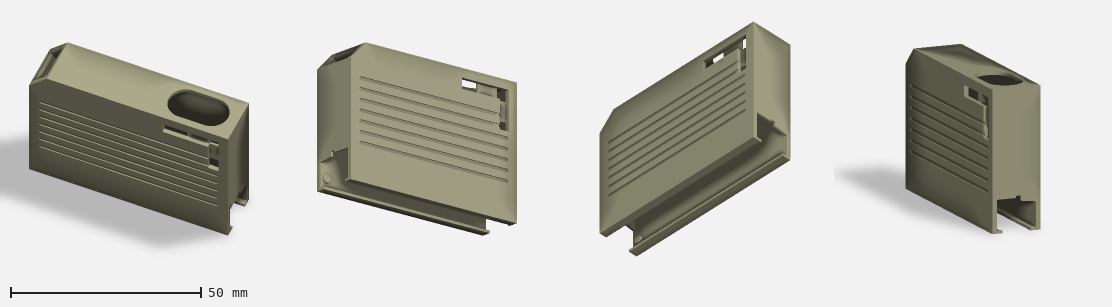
import cadquery as cq

length = 57.15
width = 13.7
height = 39.0
chamfer = 5.15

side_wall = 1.25
end_wall = 0.7
top_wall = 1.05

lip_thickness = 0.75
near_lip_reach = 2.4
far_lip_reach = 2.8
stop_reach = 2.9
stop_length = 0.7
stop_bevel = 0.2

mouth_low = 7.7
mouth_slope_top = 8.3
mouth_shoulder = 9.15
mouth_top = 9.7
mouth_notch_start = 6.75
mouth_notch_end = 8.2

oblong_length = 17.05
oblong_width = 9.7
oblong_center_x = 45.65

groove_count = 7
groove_pitch = 3.0
groove_width = 1.0
groove_depth = 0.35
groove_start = 2.9
groove_end = 54.2
lowest_groove_z = 10.85

arm_start = 38.35
arm_end = 54.4
arm_top = height - 2.7
arm_width = 3.1
leg_bottom = height - 14.25

plate_start = 44.75
plate_bottom = height - 11.5
plate_thickness = 0.65

display_width = 10.3
recess_drop_start = 0.5
recess_drop_end = 5.0
recess_depth = 0.3
bezel_width = 11.2
bezel_depth = 0.2
bezel_drop_start = 0.9
bezel_drop_end = 4.35

pocket_upper_x = 4.25
pocket_upper_drop = 1.25
pocket_lower_x = 0.9
pocket_lower_drop = 4.6
draft_long = 0.8
draft_short = 0.45
pocket_back_x = 5.4
pocket_back_drop = 5.8
back_step_drop = 2.45
floor_upper_drop = 2.9
floor_lower_x = 2.5
bottom_step_x = 2.05

button_x = 2.05
button_z = 3.55
button_radius = 1.25
button_height = 0.65
button_edge = 0.25


def box(x0, x1, y0, y1, z0, z1):
    """Axis-aligned block between the given limits."""
    return cq.Workplane("XY").box(x1 - x0, y1 - y0, z1 - z0, centered=False).translate((x0, y0, z0))


def xz_prism(points, y0, y1):
    """Outline in X and Z, extruded from y0 to y1."""
    outline = cq.Workplane("XZ", origin=(0, y0, 0)).polyline(points).close()
    return outline.extrude(y0 - y1)


def chamfer_pocket(drop_start, drop_end, depth, pocket_width):
    """Pocket square to the chamfered face, placed by its drop below the top face."""
    inward = depth / 2**0.5
    upper = (chamfer - drop_start, height - drop_start)
    lower = (chamfer - drop_end, height - drop_end)
    points = [
        (upper[0] - inward, upper[1] + inward),
        (upper[0] + inward, upper[1] - inward),
        (lower[0] + inward, lower[1] - inward),
        (lower[0] - inward, lower[1] + inward),
    ]
    return xz_prism(points, (width - pocket_width) / 2, (width + pocket_width) / 2)


outer_outline = [
    (0, 0),
    (length, 0),
    (length, height),
    (chamfer, height),
    (0, height - chamfer),
]
body = xz_prism(outer_outline, 0, width)

corner_x = pocket_back_x + end_wall
corner_z = height - pocket_back_drop - end_wall
cavity_outline = [
    (end_wall, lip_thickness),
    (length - end_wall, lip_thickness),
    (length - end_wall, height - top_wall),
    (corner_x, height - top_wall),
    (corner_x, corner_z),
    (end_wall, corner_z),
]
body = body.cut(xz_prism(cavity_outline, side_wall, width - side_wall))

stop_start = length - stop_length
lip_gap_outline = [
    (0, near_lip_reach),
    (stop_start, near_lip_reach),
    (stop_start, stop_reach - stop_bevel),
    (stop_start + stop_bevel, stop_reach),
    (length, stop_reach),
    (length, width - far_lip_reach),
    (0, width - far_lip_reach),
]
body = body.cut(cq.Workplane("XY").polyline(lip_gap_outline).close().extrude(lip_thickness))

mouth_outline = [
    (side_wall, lip_thickness),
    (side_wall, mouth_shoulder),
    (mouth_notch_start, mouth_shoulder),
    (mouth_notch_start, mouth_top),
    (mouth_notch_end, mouth_top),
    (mouth_notch_end, mouth_slope_top),
    (width - side_wall, mouth_low),
    (width - side_wall, lip_thickness),
]
body = body.cut(cq.Workplane("YZ").polyline(mouth_outline).close().extrude(length))

oblong = (
    cq.Workplane("XY", origin=(oblong_center_x, width / 2, height - top_wall))
    .slot2D(oblong_length, oblong_width)
    .extrude(top_wall)
)
body = body.cut(oblong)

for index in range(groove_count):
    groove_z = lowest_groove_z + index * groove_pitch
    groove = (
        cq.Workplane("XZ", origin=((groove_start + groove_end) / 2, 0, groove_z))
        .slot2D(groove_end - groove_start, groove_width)
        .extrude(-groove_depth)
    )
    body = body.cut(groove)

arm_bottom = arm_top - arm_width
leg_start = arm_end - arm_width
body = body.cut(box(arm_start, arm_end, 0, side_wall, arm_bottom, arm_top))
body = body.cut(box(leg_start, arm_end, 0, side_wall, leg_bottom, arm_top))

plate_back = side_wall + plate_thickness
plate = box(plate_start, length - end_wall, side_wall, plate_back, plate_bottom, height - top_wall)
plate_notch = box(leg_start, length - end_wall, side_wall, plate_back, arm_bottom, height - top_wall)
body = body.union(plate.cut(plate_notch))

body = body.cut(chamfer_pocket(bezel_drop_start, bezel_drop_end, bezel_depth, bezel_width))
body = body.cut(chamfer_pocket(recess_drop_start, recess_drop_end, recess_depth, display_width))
display_outline = [
    (pocket_upper_x, height - pocket_upper_drop),
    (pocket_upper_x + draft_short, height - pocket_upper_drop - draft_long),
    (pocket_back_x, height - back_step_drop),
    (pocket_back_x, height - floor_upper_drop),
    (floor_lower_x, height - pocket_back_drop),
    (bottom_step_x, height - pocket_back_drop),
    (pocket_lower_x + draft_long, height - pocket_lower_drop - draft_short),
    (pocket_lower_x, height - pocket_lower_drop),
]
display_margin = (width - display_width) / 2
body = body.cut(xz_prism(display_outline, display_margin, width - display_margin))

button = (
    cq.Workplane("XZ", origin=(button_x, width - side_wall, button_z))
    .circle(button_radius)
    .extrude(button_height)
    .faces("<Y")
    .chamfer(button_edge)
)
result = body.union(button)